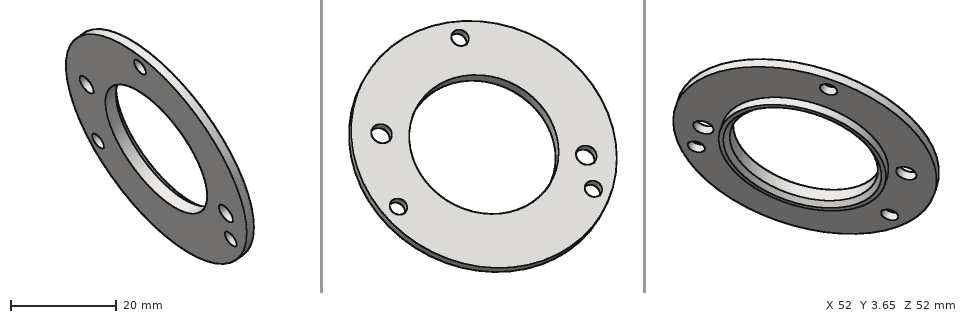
import cadquery as cq

flange_diameter = 52.0
boss_diameter = 33.0
bore_diameter = 29.2
total_thickness = 3.65
flange_thickness = 1.85
bore_chamfer = 1.0

large_hole_diameter = 4.0
large_hole_radius = 20.0
large_hole_angles = [0, 180]

small_hole_diameter = 3.4
small_hole_radius = 22.5
small_hole_count = 3
small_hole_start_angle = 102
small_hole_angles = [
    small_hole_start_angle + i * 360 / small_hole_count for i in range(small_hole_count)
]


def disc(diameter, thickness):
    """Disc extending from the flange face at Y = 0 toward +Y."""
    return cq.Workplane("XZ").circle(diameter / 2).extrude(-thickness)


def hole_at(diameter, radius, angle):
    """Through-hole cutter; the angle runs from +X toward +Z."""
    cutter = disc(diameter, total_thickness).translate((radius, 0, 0))
    return cutter.rotate((0, 0, 0), (0, 1, 0), -angle)


def bore_cutter():
    """Through bore, widened by a 45 degree chamfer at the boss face."""
    mouth_radius = bore_diameter / 2 + bore_chamfer
    mouth = cq.Workplane("XZ", origin=(0, total_thickness, 0)).circle(mouth_radius)
    return disc(bore_diameter, total_thickness).union(mouth.extrude(bore_chamfer, taper=45))


result = disc(flange_diameter, flange_thickness).union(disc(boss_diameter, total_thickness))
result = result.cut(bore_cutter())

for angle in large_hole_angles:
    result = result.cut(hole_at(large_hole_diameter, large_hole_radius, angle))
for angle in small_hole_angles:
    result = result.cut(hole_at(small_hole_diameter, small_hole_radius, angle))